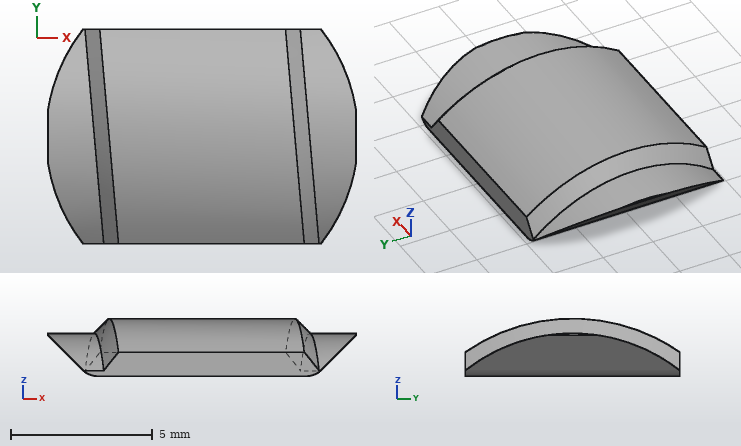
import cadquery as cq
import math

length = 10.9
half_length = length / 2
width = 7.6
height = 2.05

base_height = 1.53
base_radius = 6.13
crown_rise = height - base_height
axis_height = base_height - base_radius

end_land = 0.08
undercut = base_height - end_land
bottom_edge_radius = 0.76

crown_foot_length = 7.62
skew_angle = 5.0


def make_envelope():
    """Undercut side profile extruded across the width, up to the full height."""
    return (
        cq.Workplane("XZ")
        .moveTo(-half_length, height)
        .lineTo(-half_length, undercut)
        .lineTo(-half_length + undercut, 0)
        .lineTo(half_length - undercut, 0)
        .lineTo(half_length, undercut)
        .lineTo(half_length, height)
        .close()
        .extrude(width / 2, both=True)
        .faces("<Z")
        .edges("|Y")
        .fillet(bottom_edge_radius)
    )


def make_base_cylinder():
    """Full cylinder along X whose upper surface forms the top of the base."""
    return (
        cq.Workplane("YZ", origin=(-half_length, 0, 0))
        .center(0, axis_height)
        .circle(base_radius)
        .extrude(length)
    )


def make_crown():
    """Turned band with tapered flanks, sheared along X."""
    foot = crown_foot_length / 2
    top = foot - crown_rise
    overlap = 0.11
    band = (
        cq.Workplane("XZ")
        .moveTo(-foot, base_height - overlap)
        .lineTo(-foot, base_height)
        .lineTo(-top, height)
        .lineTo(top, height)
        .lineTo(foot, base_height)
        .lineTo(foot, base_height - overlap)
        .close()
        .revolve(360, (0, axis_height, 0), (1, axis_height, 0))
    )
    shear = -math.tan(math.radians(skew_angle))
    skew = cq.Matrix([[1, shear, 0, 0], [0, 1, 0, 0], [0, 0, 1, 0]])
    return cq.Workplane(band.val().transformGeometry(skew))


result = make_envelope().intersect(make_base_cylinder().union(make_crown()))